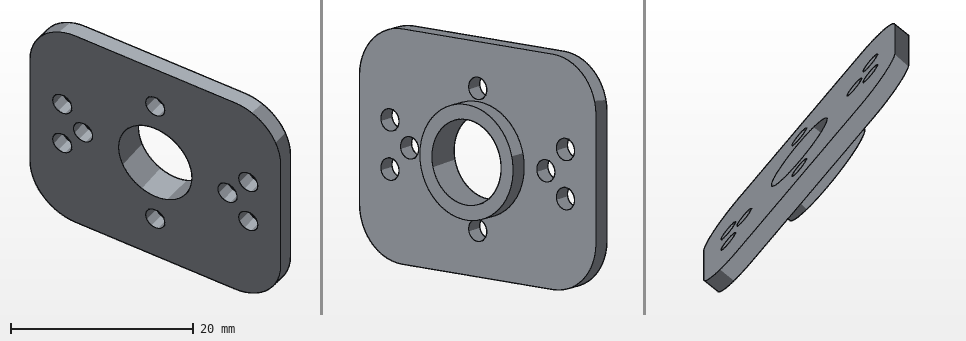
import cadquery as cq

plate_width = 33.0
plate_height = 26.5
corner_radius = 6.0
total_depth = 4.0
plate_thickness = total_depth / 2

boss_diameter = 13.0
bore_diameter = 9.65

hole_diameter = 2.5
vertical_hole_offset = 8.0
inner_hole_offset = 9.5
outer_hole_offset = 12.25
outer_hole_rise = 2.77


def cylinder_along_y(diameter, centers=((0, 0),)):
    """Cylinders from the front face to the full depth, at (x, z) centers."""
    return (
        cq.Workplane("XZ")
        .pushPoints(centers)
        .circle(diameter / 2)
        .extrude(-total_depth)
    )


plate = (
    cq.Workplane("XZ")
    .rect(plate_width, plate_height)
    .extrude(-plate_thickness)
    .edges("|Y")
    .fillet(corner_radius)
)

hole_centers = []
for side in (-1, 1):
    hole_centers.append((0, side * vertical_hole_offset))
    hole_centers.append((side * inner_hole_offset, 0))
    for level in (-1, 1):
        hole_centers.append((side * outer_hole_offset, level * outer_hole_rise))

result = (
    plate
    .union(cylinder_along_y(boss_diameter))
    .cut(cylinder_along_y(bore_diameter))
    .cut(cylinder_along_y(hole_diameter, hole_centers))
)